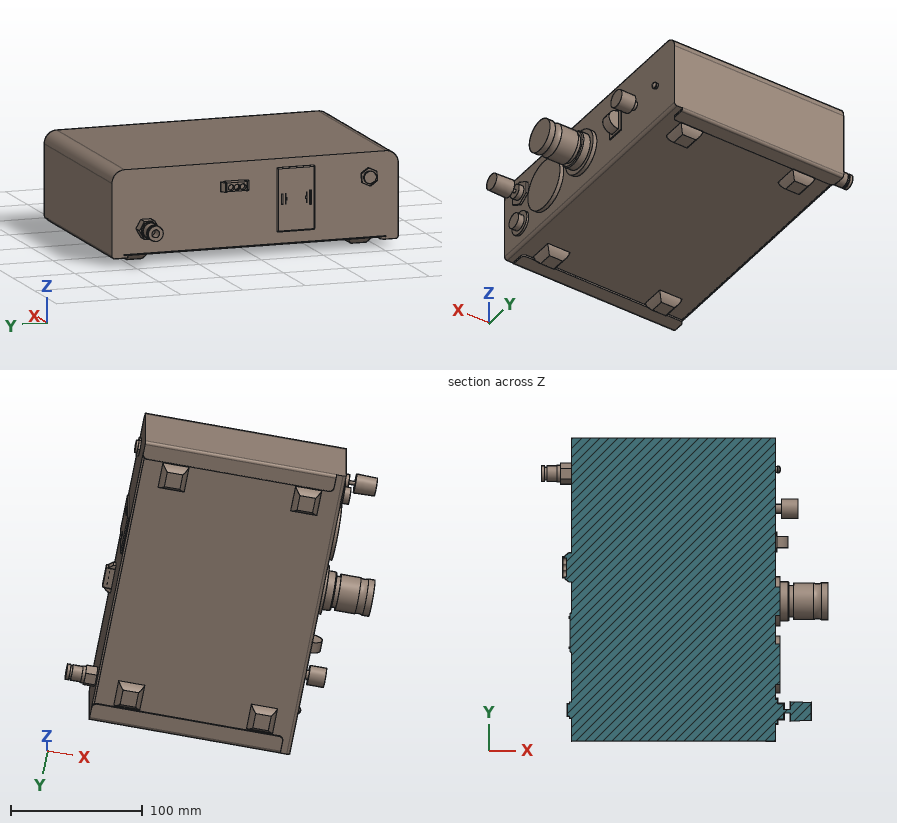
import cadquery as cq
import math

case_length = 155.0
case_width = 230.4
total_height = 74.5
case_bottom_z = 7.4
cover_radius = 10.0
front_bend_radius = 2.5
panel_notch_depth = 1.5
panel_notch_height = 1.0
panel_notch_inset = 10.0

flange_length = 147.5
flange_width = 13.8
flange_bottom_z = 5.8
flange_bend_radius = 2.2
flange_corner_radius = 3.5

foot_size = 20.2
foot_base_size = 12.0
foot_inset_x = 26.25
foot_inset_y = 25.0
foot_bulge = 0.7

fitting_y = 88.0
fitting_z = 28.1
fitting_hex_flats = 14.0
fitting_hex_length = 8.5
fitting_collar_diameter = 13.0
fitting_collar_length = 2.5
fitting_barrel_diameter = 12.0
fitting_barrel_length = 7.7
fitting_groove_diameter = 10.0
fitting_groove_length = 1.6
fitting_lip_length = 2.5
fitting_bore_diameter = 6.0
fitting_bore_depth = 10.0

terminal_y = 16.9
terminal_z = 56.5
terminal_ear_start = 8.7
terminal_ear_end = 11.2
terminal_ear_straight = 2.0
terminal_ear_depth = 5.1
terminal_ear_height = 7.3
terminal_ear_drop = 0.3
terminal_block_width = 16.1
terminal_block_height = 6.8
terminal_block_depth = 6.8
terminal_count = 3
terminal_pitch = 4.7
terminal_hole_diameter = 4.6
terminal_hole_drop = 0.4
terminal_hole_depth = 3.0

plate_y = -32.6
plate_z = 42.5
plate_width = 30.5
plate_height = 50.0
plate_thickness = 1.2
plate_corner_radius = 1.3
plate_chamfer = 0.9
grip_offset = 11.4
grip_width = 1.2
far_grip_height = 8.0
near_grip_height = 11.0
grip_projection = 0.8
grip_slot_offset = 8.4
grip_slot_width = 0.4
grip_slot_depth = 0.4
grip_slot_height = 8.0
grip_rise = 0.6
grip_nick_width = 0.8
grip_nick_height = 2.0

stud_y = -91.5
stud_z = 55.3
stud_nut_flats = 12.4
stud_nut_thickness = 1.7
stud_nut_turn = 5.0
stud_diameter = 9.73
stud_length = 3.4

control_z = 40.8

coupling_y = -8.9
coupling_flange_diameter = 37.6
coupling_flange_end = 3.4
coupling_ring_diameter = 30.0
coupling_ring_end = 10.2
coupling_ring_chamfer = 0.85
coupling_neck_diameter = 24.0
coupling_neck_end = 13.6
coupling_barrel_diameter = 28.0
coupling_barrel_end = 28.8
coupling_waist_diameter = 26.6
coupling_rim_start = 34.7
coupling_rim_diameter = 28.16
coupling_end = 39.7

disc_y = -56.8
disc_diameter = 43.5
disc_thickness = 3.4

toggle_y = -92.5
toggle_z = 56.0
toggle_nut_corners = 21.2
toggle_nut_thickness = 1.7
toggle_bush_diameter = 12.0
toggle_bush_end = 5.9
toggle_key_start = 3.0
toggle_key_width = 4.2
toggle_key_depth = 0.8
toggle_stem_diameter = 3.0
toggle_cap_start = 11.0
toggle_cap_end = 27.1
toggle_cap_base_diameter = 14.9
toggle_cap_tip_diameter = 14.0

socket_z = 27.3
socket_base_diameter = 20.2
socket_base_thickness = 1.7
socket_diameter = 13.0
socket_end = 6.8

rocker_y = 36.0
rocker_plate_width = 15.3
rocker_plate_height = 22.0
rocker_plate_thickness = 0.85
rocker_width = 8.57
rocker_radius = 8.5

knob_y = 61.4
knob_shaft_diameter = 7.0
knob_diameter = 15.0
knob_start = 4.2
knob_end = 16.9

lamp_y = 91.1
lamp_base_diameter = 4.6
lamp_base_end = 1.3
lamp_diameter = 5.0
lamp_rim_end = 2.3
lamp_tip_end = 3.8


def box_between(x_range, y_range, z_range):
    """Box spanning the given (low, high) ranges."""
    sizes = [high - low for low, high in (x_range, y_range, z_range)]
    corner = (x_range[0], y_range[0], z_range[0])
    return cq.Workplane("XY").box(*sizes, centered=False).translate(corner)


def rod_x(x_start, x_end, y, z, diameter):
    """Round bar along X."""
    length = x_end - x_start
    return cq.Workplane("YZ", origin=(x_start, y, z)).circle(diameter / 2).extrude(length)


def hex_x(x_start, x_end, y, z, corner_diameter, turn=0.0):
    """Hexagonal bar along X; at zero turn two corners point along Y."""
    nut = cq.Workplane("YZ").polygon(6, corner_diameter).extrude(x_end - x_start)
    nut = nut.rotate((0, 0, 0), (1, 0, 0), turn)
    return nut.translate((x_start, y, z))


def hex_corners(flats):
    """Corner-to-corner size of a hexagon from its width across flats."""
    return flats / math.cos(math.pi / 6)


def make_case():
    case = box_between(
        (0, case_length), (-case_width / 2, case_width / 2), (case_bottom_z, total_height)
    )
    case = case.edges("|X and >Z").fillet(cover_radius)
    case = case.edges("|Y and >X and <Z").fillet(front_bend_radius)
    notch_half_width = case_width / 2 - panel_notch_inset
    notch = box_between(
        (0, panel_notch_depth),
        (-notch_half_width, notch_half_width),
        (case_bottom_z, case_bottom_z + panel_notch_height),
    )
    return case.cut(notch)


def make_flange():
    """Flange under the -Y side of the cover, with rounded free corners."""
    outer_y = -case_width / 2
    inner_y = outer_y + flange_width
    top_z = flange_bottom_z + flange_bend_radius
    strip = box_between((0, flange_length), (outer_y, inner_y), (flange_bottom_z, top_z))
    return strip.edges("|Z and >Y").fillet(flange_corner_radius)


def make_flange_bend():
    """Material outside the rounded fold between the -Y side of the cover and its flange."""
    bend_y = -case_width / 2 + flange_bend_radius
    bend_z = flange_bottom_z + flange_bend_radius
    corner = box_between(
        (0, flange_length), (-case_width / 2, bend_y), (flange_bottom_z, bend_z)
    )
    return corner.cut(rod_x(0, flange_length, bend_y, bend_z, 2 * flange_bend_radius))


def foot_bar(plane):
    """Bar with the bulging foot outline, running across the given plane."""
    half_top = foot_size / 2
    half_base = foot_base_size / 2
    chord = math.hypot(half_top - half_base, case_bottom_z)
    middle_x = (half_top + half_base) / 2 + foot_bulge * case_bottom_z / chord
    middle_z = case_bottom_z / 2 - foot_bulge * (half_top - half_base) / chord
    top_z = case_bottom_z + panel_notch_height
    return (
        cq.Workplane(plane)
        .moveTo(-half_base, 0)
        .lineTo(half_base, 0)
        .threePointArc((middle_x, middle_z), (half_top, case_bottom_z))
        .lineTo(half_top, top_z)
        .lineTo(-half_top, top_z)
        .lineTo(-half_top, case_bottom_z)
        .threePointArc((-middle_x, middle_z), (-half_base, 0))
        .close()
        .extrude(half_top, both=True)
    )


def make_foot(x, y):
    """Square foot whose four sides curve inward toward the floor."""
    return foot_bar("XZ").intersect(foot_bar("YZ")).translate((x, y, 0))


def make_hose_fitting():
    fitting = hex_x(-fitting_hex_length, 0, fitting_y, fitting_z, hex_corners(fitting_hex_flats))
    outer_x = -fitting_hex_length
    sections = [
        (fitting_collar_length, fitting_collar_diameter),
        (fitting_barrel_length, fitting_barrel_diameter),
        (fitting_groove_length, fitting_groove_diameter),
        (fitting_lip_length, fitting_barrel_diameter),
    ]
    for length, diameter in sections:
        fitting = fitting.union(rod_x(outer_x - length, outer_x, fitting_y, fitting_z, diameter))
        outer_x -= length
    bore = rod_x(outer_x, outer_x + fitting_bore_depth, fitting_y, fitting_z, fitting_bore_diameter)
    return fitting.cut(bore)


def make_terminal_block():
    """Block with a row of round openings and a tapered ear at each end."""
    half_block = terminal_block_width / 2
    top_z = terminal_block_height / 2
    terminal = box_between(
        (-terminal_block_depth, 0), (-half_block, half_block), (-top_z, top_z)
    )
    ear_outline = [
        (0, half_block),
        (0, terminal_ear_end),
        (-terminal_ear_straight, terminal_ear_end),
        (-terminal_ear_depth, terminal_ear_start),
        (-terminal_ear_depth, half_block),
    ]
    ear_plane = cq.Workplane("XY", origin=(0, 0, top_z - terminal_ear_drop))
    ear = ear_plane.polyline(ear_outline).close().extrude(-terminal_ear_height)
    terminal = terminal.union(ear).union(ear.mirror("XZ"))
    for index in range(terminal_count):
        hole_y = (index - (terminal_count - 1) / 2) * terminal_pitch
        hole_floor_x = -terminal_block_depth + terminal_hole_depth
        hole = rod_x(
            -terminal_block_depth, hole_floor_x, hole_y, -terminal_hole_drop, terminal_hole_diameter
        )
        terminal = terminal.cut(hole)
    return terminal.translate((0, terminal_y, terminal_z))


def make_cover_plate():
    """Chamfered plate with a raised grip bar and a narrow nicked slot near each long side."""
    plate = box_between(
        (-plate_thickness, 0),
        (-plate_width / 2, plate_width / 2),
        (-plate_height / 2, plate_height / 2),
    )
    plate = plate.edges("|X").fillet(plate_corner_radius)
    plate = plate.faces("<X").chamfer(plate_chamfer)
    for side, grip_height in ((-1, near_grip_height), (1, far_grip_height)):
        bar_y = side * grip_offset
        bar = box_between(
            (-plate_thickness - grip_projection, 0),
            (bar_y - grip_width / 2, bar_y + grip_width / 2),
            (grip_rise - grip_height / 2, grip_rise + grip_height / 2),
        )
        slot_y = side * grip_slot_offset
        slot = box_between(
            (-plate_thickness, -plate_thickness + grip_slot_depth),
            (slot_y - grip_slot_width / 2, slot_y + grip_slot_width / 2),
            (grip_rise - grip_slot_height / 2, grip_rise + grip_slot_height / 2),
        )
        nick_ends = (slot_y, slot_y - side * grip_nick_width)
        nick = box_between(
            (-plate_thickness, -plate_thickness + grip_slot_depth),
            (min(nick_ends), max(nick_ends)),
            (grip_rise - grip_nick_height / 2, grip_rise + grip_nick_height / 2),
        )
        plate = plate.union(bar).cut(slot).cut(nick)
    return plate.translate((0, plate_y, plate_z))


def make_stud():
    turn = 90 - stud_nut_turn
    nut = hex_x(-stud_nut_thickness, 0, stud_y, stud_z, hex_corners(stud_nut_flats), turn)
    return nut.union(rod_x(-stud_length, 0, stud_y, stud_z, stud_diameter))


def make_coupling():
    """Stepped coupling with a hollowed waist, revolved about its axis along X."""
    ring_radius = coupling_ring_diameter / 2
    waist_middle = ((coupling_barrel_end + coupling_rim_start) / 2, coupling_waist_diameter / 2)
    profile = (
        cq.Workplane("XY")
        .moveTo(0, 0)
        .lineTo(0, coupling_flange_diameter / 2)
        .lineTo(coupling_flange_end, coupling_flange_diameter / 2)
        .lineTo(coupling_flange_end, ring_radius)
        .lineTo(coupling_ring_end - coupling_ring_chamfer, ring_radius)
        .lineTo(coupling_ring_end, ring_radius - coupling_ring_chamfer)
        .lineTo(coupling_ring_end, coupling_neck_diameter / 2)
        .lineTo(coupling_neck_end, coupling_neck_diameter / 2)
        .lineTo(coupling_neck_end, coupling_barrel_diameter / 2)
        .lineTo(coupling_barrel_end, coupling_barrel_diameter / 2)
        .threePointArc(waist_middle, (coupling_rim_start, coupling_barrel_diameter / 2))
        .lineTo(coupling_rim_start, coupling_rim_diameter / 2)
        .lineTo(coupling_end, coupling_rim_diameter / 2)
        .lineTo(coupling_end, 0)
        .close()
    )
    coupling = profile.revolve(360, (0, 0, 0), (1, 0, 0))
    return coupling.translate((case_length, coupling_y, control_z))


def front_rod(start, end, y, z, diameter):
    """Round bar along X, with its ends measured outward from the control panel."""
    return rod_x(case_length + start, case_length + end, y, z, diameter)


def make_toggle_switch():
    """Lever with a tapered cap, in a bush with a shallow keyway along its top."""
    nut_end = case_length + toggle_nut_thickness
    nut = hex_x(case_length, nut_end, toggle_y, toggle_z, toggle_nut_corners, 90)
    bush = front_rod(0, toggle_bush_end, toggle_y, toggle_z, toggle_bush_diameter)
    bush_top_z = toggle_z + toggle_bush_diameter / 2
    keyway = box_between(
        (case_length + toggle_key_start, case_length + toggle_bush_end),
        (toggle_y - toggle_key_width / 2, toggle_y + toggle_key_width / 2),
        (bush_top_z - toggle_key_depth, bush_top_z),
    )
    bush = bush.cut(keyway)
    stem = front_rod(0, toggle_cap_start, toggle_y, toggle_z, toggle_stem_diameter)
    cap = (
        cq.Workplane("YZ", origin=(case_length + toggle_cap_start, toggle_y, toggle_z))
        .circle(toggle_cap_base_diameter / 2)
        .workplane(offset=toggle_cap_end - toggle_cap_start)
        .circle(toggle_cap_tip_diameter / 2)
        .loft()
    )
    return nut.union(bush).union(stem).union(cap)


def make_socket():
    base = front_rod(0, socket_base_thickness, toggle_y, socket_z, socket_base_diameter)
    return base.union(front_rod(0, socket_end, toggle_y, socket_z, socket_diameter))


def make_rocker_switch():
    """Half-round rocker, with its axis along Y, on a thin plate."""
    plate = box_between(
        (0, rocker_plate_thickness),
        (-rocker_plate_width / 2, rocker_plate_width / 2),
        (-rocker_plate_height / 2, rocker_plate_height / 2),
    )
    rocker = (
        cq.Workplane("XZ")
        .moveTo(0, -rocker_radius)
        .lineTo(rocker_plate_thickness, -rocker_radius)
        .threePointArc(
            (rocker_plate_thickness + rocker_radius, 0), (rocker_plate_thickness, rocker_radius)
        )
        .lineTo(0, rocker_radius)
        .close()
        .extrude(rocker_width / 2, both=True)
    )
    return plate.union(rocker).translate((case_length, rocker_y, control_z))


def make_knob():
    shaft = front_rod(0, knob_start, knob_y, control_z, knob_shaft_diameter)
    return shaft.union(front_rod(knob_start, knob_end, knob_y, control_z, knob_diameter))


def make_lamp():
    """Lamp with a domed tip on a slightly narrower base."""
    lamp_radius = lamp_diameter / 2
    dome_height = lamp_tip_end - lamp_rim_end
    dome_radius = (lamp_radius**2 + dome_height**2) / (2 * dome_height)
    dome = (
        cq.Workplane("XY")
        .moveTo(0, 0)
        .lineTo(0, lamp_base_diameter / 2)
        .lineTo(lamp_base_end, lamp_base_diameter / 2)
        .lineTo(lamp_base_end, lamp_radius)
        .lineTo(lamp_rim_end, lamp_radius)
        .radiusArc((lamp_tip_end, 0), dome_radius)
        .close()
        .revolve(360, (0, 0, 0), (1, 0, 0))
    )
    return dome.translate((case_length, lamp_y, control_z))


result = make_case()

flange = make_flange()
flange_bend = make_flange_bend()
result = result.union(flange).union(flange.mirror("XZ"))
result = result.cut(flange_bend).cut(flange_bend.mirror("XZ"))

for foot_x in (foot_inset_x, case_length - foot_inset_x):
    for side in (-1, 1):
        result = result.union(make_foot(foot_x, side * (case_width / 2 - foot_inset_y)))

attachments = [
    make_hose_fitting(),
    make_terminal_block(),
    make_cover_plate(),
    make_stud(),
    make_coupling(),
    front_rod(0, disc_thickness, disc_y, control_z, disc_diameter),
    make_toggle_switch(),
    make_socket(),
    make_rocker_switch(),
    make_knob(),
    make_lamp(),
]
for attachment in attachments:
    result = result.union(attachment)